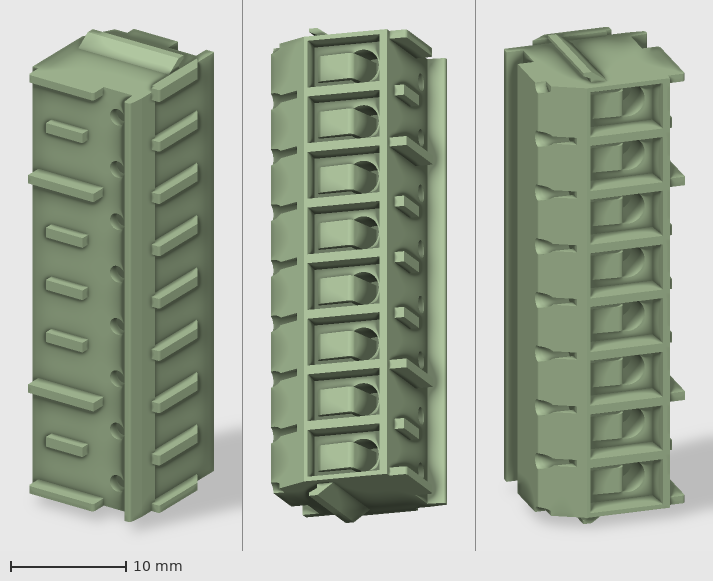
import cadquery as cq


poles = 8
pitch = 5.0
height = poles * pitch
total_height = 42.0
half_height = height / 2
total_width = 12.4
total_depth = 13.0

front_wall_y = 1.6
body_right_x = 11.3
chamfer_x = 2.0
chamfer_y = 9.2
chamfer_round = 0.2
back_block_x = 7.48
back_notch_y = 11.5
upper_leg_x = 10.4
upper_leg_round = 0.13
step_y = 3.53
lower_leg_left_x = 10.55
lower_leg_right_x = 11.55
leg_taper = 0.15
lower_leg_round = 0.2

long_rib_x = (0.65, 7.5)
long_rib_thickness = 0.8
short_rib_x = (2.0, 5.9)
short_rib_tip_y = 0.7
short_rib_thickness = 0.92
long_rib_joints = (2, 6)
end_rib_thickness = 0.7
end_rib_round = 0.275

test_hole_x = 8.95
test_hole_diameter = 1.55
test_hole_depth = 1.0

side_rib_thickness = 0.92
side_rib_low_y = 3.02
side_rib_crest_y = 8.85
side_rib_top_y = 10.37
side_rib_round = 0.2
top_rib_rise = 0.4

latch_x = (1.15, 10.7)
latch_rise = (total_height - height) / 2
latch_tip_y = 9.15
latch_crest_y = 8.4
latch_root_y = (6.95, 8.45)
latch_lip_z = 0.7
latch_neck_z = 0.38

pocket_y = (2.25, 8.9)
pocket_height = 4.2
pocket_depth = 2.3
pocket_bend_depth = 0.85
pocket_lean = 0.15
wire_hole_y = 4.65
wire_hole_diameter = 3.02
wire_hole_floor_x = 5.65

plate_height = 2.25
plate_outer_y = 8.65
plate_flat_y = (5.85, 8.35)
plate_edge_x = 2.0
plate_flat_x = (1.6, 1.8)
plate_bend_mid = (1.7, 5.45)
plate_bend_end = (2.05, 5.25)
plate_tip_y = 4.55

marker_x = 2.05
marker_radius = 0.735
marker_floor_y = 10.0
marker_slot_width = 0.67
end_marker_floor_y = 12.0


def pole_z(index):
    """Mid-height of one pole."""
    return half_height - (index + 0.5) * pitch


def joint_z(index):
    """Height of the joint between two poles; 0 is the top face and `poles` the bottom face."""
    return half_height - index * pitch


def block(x_range, y_range, z_range):
    size = [b - a for a, b in (x_range, y_range, z_range)]
    return cq.Workplane("XY").box(*size, centered=False).translate((x_range[0], y_range[0], z_range[0]))


def prism(points, z_low, thickness):
    return cq.Workplane("XY").workplane(offset=z_low).polyline(points).close().extrude(thickness)


def y_cylinder(x, z, radius, y_low, y_high):
    circle = cq.Workplane("XZ", origin=(x, y_low, z)).circle(radius)
    return circle.extrude(y_low - y_high)


def make_body():
    outline = [
        (0, front_wall_y),
        (lower_leg_left_x, front_wall_y),
        (lower_leg_left_x + leg_taper, 0),
        (lower_leg_right_x - leg_taper, 0),
        (lower_leg_right_x, front_wall_y),
        (lower_leg_right_x, step_y),
        (body_right_x, step_y),
        (body_right_x, total_depth),
        (upper_leg_x, total_depth),
        (upper_leg_x, back_notch_y),
        (back_block_x, back_notch_y),
        (back_block_x, total_depth),
        (chamfer_x, total_depth),
        (0, chamfer_y),
    ]
    body = prism(outline, -half_height, height)
    body = body.edges("|Z and <Y").fillet(lower_leg_round)
    chamfer_corner = cq.selectors.NearestToPointSelector((chamfer_x, total_depth, 0))
    body = body.edges(chamfer_corner).fillet(chamfer_round)
    upper_leg_corner = cq.selectors.NearestToPointSelector((body_right_x, total_depth, 0))
    return body.edges(upper_leg_corner).fillet(upper_leg_round)


def end_rib(z_low):
    rib = block(long_rib_x, (0, front_wall_y), (z_low, z_low + end_rib_thickness))
    return rib.edges("|Z and <Y").fillet(end_rib_round)


def front_ribs():
    ribs = end_rib(half_height - end_rib_thickness).union(end_rib(-half_height))
    for joint in range(1, poles):
        if joint in long_rib_joints:
            x_range, tip_y, thickness = long_rib_x, 0, long_rib_thickness
        else:
            x_range, tip_y, thickness = short_rib_x, short_rib_tip_y, short_rib_thickness
        z_low = joint_z(joint) - thickness / 2
        ribs = ribs.union(block(x_range, (tip_y, front_wall_y), (z_low, z_low + thickness)))
    return ribs


def side_rib(z_low, z_high):
    outline = [
        (body_right_x, step_y),
        (lower_leg_right_x, step_y),
        (lower_leg_right_x, side_rib_low_y),
        (total_width, side_rib_low_y),
        (total_width, side_rib_crest_y),
        (body_right_x, side_rib_top_y),
    ]
    rib = prism(outline, z_low, z_high - z_low)
    outer_corner = cq.selectors.NearestToPointSelector((total_width, side_rib_low_y, (z_low + z_high) / 2))
    return rib.edges(outer_corner).fillet(side_rib_round)


def side_ribs():
    ribs = side_rib(half_height - end_rib_thickness, half_height + top_rib_rise)
    ribs = ribs.union(side_rib(-half_height, -half_height + end_rib_thickness))
    for joint in range(1, poles):
        z_low = joint_z(joint) - side_rib_thickness / 2
        ribs = ribs.union(side_rib(z_low, z_low + side_rib_thickness))
    return ribs


def make_latch():
    """Hooked latch bar on the top face."""
    profile = [
        (latch_root_y[0], 0),
        (latch_crest_y, latch_rise),
        (latch_tip_y, latch_rise),
        (latch_tip_y, latch_lip_z),
        (latch_root_y[1], latch_neck_z),
        (latch_root_y[1], 0),
    ]
    plane = cq.Workplane("YZ", origin=(latch_x[0], 0, half_height))
    return plane.polyline(profile).close().extrude(latch_x[1] - latch_x[0])


def pocket(z):
    """Rectangular wire pocket, its inner part leaning towards +Y, with the round wire hole behind it."""
    low_y, high_y = pocket_y
    outline = [
        (0, low_y),
        (pocket_bend_depth, low_y),
        (pocket_depth, low_y + pocket_lean),
        (pocket_depth, high_y + pocket_lean),
        (pocket_bend_depth, high_y),
        (0, high_y),
    ]
    hole = cq.Workplane("YZ", origin=(pocket_depth, wire_hole_y, z)).circle(wire_hole_diameter / 2)
    hole = hole.extrude(wire_hole_floor_x - pocket_depth)
    return prism(outline, z - pocket_height / 2, pocket_height).union(hole)


def spring_plate(z):
    """Spring standing proud of the pocket floor and sloping down to the floor of the wire hole."""
    profile = (
        cq.Workplane("XY", origin=(0, 0, z - plate_height / 2))
        .moveTo(wire_hole_floor_x, plate_outer_y)
        .lineTo(plate_edge_x, plate_outer_y)
        .lineTo(plate_flat_x[1], plate_flat_y[1])
        .lineTo(plate_flat_x[0], plate_flat_y[0])
        .threePointArc(plate_bend_mid, plate_bend_end)
        .lineTo(wire_hole_floor_x, plate_tip_y)
        .close()
    )
    return profile.extrude(plate_height)


def marker_hole(z):
    """Round hole in the back face, opened towards the chamfer by a narrow slot."""
    slot_z = (z - marker_slot_width / 2, z + marker_slot_width / 2)
    slot = block((0, marker_x), (marker_floor_y, total_depth), slot_z)
    return slot.union(y_cylinder(marker_x, z, marker_radius, marker_floor_y, total_depth))


result = make_body().union(front_ribs()).union(side_ribs())

latch = make_latch()
result = result.union(latch).union(latch.mirror("XY"))

test_hole_floor_y = front_wall_y + test_hole_depth
for pole in range(poles):
    z = pole_z(pole)
    result = result.cut(y_cylinder(test_hole_x, z, test_hole_diameter / 2, front_wall_y, test_hole_floor_y))
    result = result.cut(pocket(z)).union(spring_plate(z))

for joint in range(1, poles):
    result = result.cut(marker_hole(joint_z(joint)))
for joint in (0, poles):
    end_marker = y_cylinder(marker_x, joint_z(joint), marker_radius, end_marker_floor_y, total_depth)
    result = result.cut(end_marker)